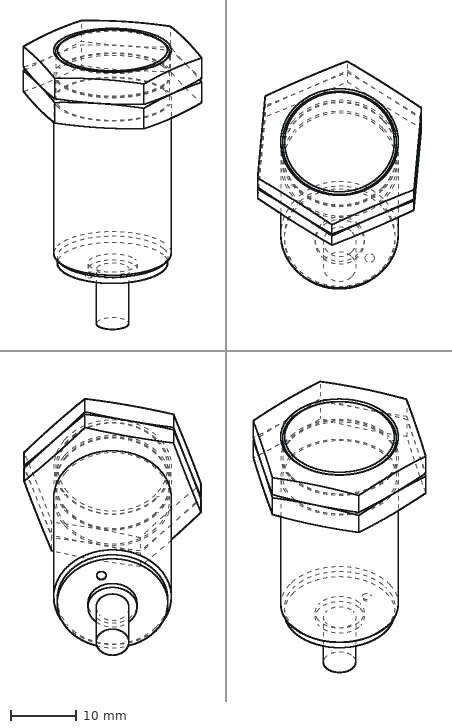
import cadquery as cq
import math

total_height = 45.0
barrel_dia = 18.0
top_face_dia = 16.8
end_cap_dia = 16.9
barrel_chamfer = (barrel_dia - end_cap_dia) / 2
seat_dia = 17.4
top_chamfer = (seat_dia - top_face_dia) / 2

cable_dia = 5.0
cable_length = 9.0
collar_dia = 7.5
end_cap_bottom = 10.0
end_cap_top = 11.02

lamp_dia = 1.45
lamp_offset = 5.6
lamp_recess = 0.05

nut_count = 2
nut_width = 24.0
nut_height = 4.0
nut_corner_dia = nut_width / math.cos(math.pi / 6)
nut_face_dia = 23.85
nut_corner_drop = 0.3
bore_chamfer = (barrel_dia - seat_dia) / 2
seat_bottom = total_height - nut_count * nut_height


def make_sensor():
    """Barrel with nut seat, end cap, collar and cable turned as one body, with a domed lamp."""
    barrel_radius = barrel_dia / 2
    profile = [
        (0, 0),
        (cable_dia / 2, 0),
        (cable_dia / 2, cable_length),
        (collar_dia / 2, cable_length),
        (collar_dia / 2, end_cap_bottom),
        (end_cap_dia / 2, end_cap_bottom),
        (end_cap_dia / 2, end_cap_top),
        (barrel_radius, end_cap_top + barrel_chamfer),
        (barrel_radius, seat_bottom),
        (seat_dia / 2, seat_bottom),
        (seat_dia / 2, total_height - top_chamfer),
        (top_face_dia / 2, total_height),
        (0, total_height),
    ]
    body = cq.Workplane("XZ").polyline(profile).close().revolve(360, (0, 0), (0, 1))
    lamp_center = (0, -lamp_offset, end_cap_bottom + lamp_recess)
    lamp = cq.Workplane("XY").sphere(lamp_dia / 2).translate(lamp_center)
    return body.union(lamp)


def make_nut(bottom):
    """Hexagonal nut with corners along Y, conical outer chamfers and a countersunk upper bore edge."""
    hexagon = (
        cq.Workplane("XY")
        .polygon(6, nut_corner_dia)
        .extrude(nut_height)
        .rotate((0, 0, 0), (0, 0, 1), 30)
    )
    face_radius = nut_face_dia / 2
    corner_radius = nut_corner_dia / 2
    bore_radius = seat_dia / 2
    envelope = (
        cq.Workplane("XZ")
        .polyline([
            (bore_radius, 0),
            (face_radius, 0),
            (corner_radius, nut_corner_drop),
            (corner_radius, nut_height - nut_corner_drop),
            (face_radius, nut_height),
            (bore_radius + bore_chamfer, nut_height),
            (bore_radius, nut_height - bore_chamfer),
        ])
        .close()
        .revolve(360, (0, 0), (0, 1))
    )
    return hexagon.intersect(envelope).translate((0, 0, bottom))


sensor = make_sensor()

nuts = []
for index in range(nut_count):
    nut_bottom = total_height - (index + 1) * nut_height
    nuts.append(make_nut(nut_bottom).val())

result = cq.Compound.makeCompound([sensor.val(), *nuts])